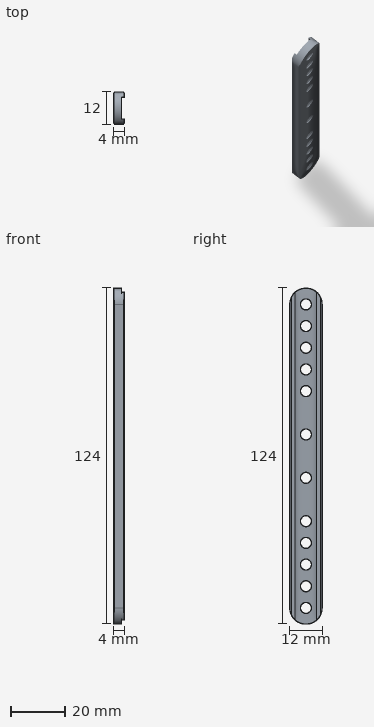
import cadquery as cq

length = 124.0
width = 12.0
thickness = 4.0

channel_width = 7.9
channel_depth = 1.0

bevel_across_face = 0.6
bevel_down_side = 0.4

hole_diameter = 4.0
pitch_count = 14
hole_positions = [0, 1, 2, 3, 4, 6, 8, 10, 11, 12, 13, 14]
end_center = (length - width) / 2
hole_pitch = 2 * end_center / pitch_count


def make_section():
    """Bevelled bar cross-section with its channel, extruded along Z."""
    bar = (
        cq.Workplane("XY")
        .rect(thickness, width)
        .extrude(length / 2, both=True)
    )
    for x_side in (-1, 1):
        for y_side in (-1, 1):
            x_face = x_side * thickness / 2
            y_face = y_side * width / 2
            bevel = (
                cq.Workplane("XY")
                .moveTo(x_face, y_face)
                .lineTo(x_face, y_face - y_side * bevel_across_face)
                .lineTo(x_face - x_side * bevel_down_side, y_face)
                .close()
                .extrude(length / 2, both=True)
            )
            bar = bar.cut(bevel)
    channel = (
        cq.Workplane("XY")
        .center(thickness / 2 - channel_depth / 2, 0)
        .rect(channel_depth, channel_width)
        .extrude(length / 2, both=True)
    )
    return bar.cut(channel)


def make_rounded_outline():
    """Plate with full-radius ends that limits the bar to its outline."""
    return cq.Workplane("YZ").slot2D(length, width, 90).extrude(thickness / 2, both=True)


def make_holes():
    """Cylinders for the through holes along the centre line."""
    centers = [(0, position * hole_pitch - end_center) for position in hole_positions]
    return (
        cq.Workplane("YZ")
        .pushPoints(centers)
        .circle(hole_diameter / 2)
        .extrude(thickness / 2, both=True)
    )


result = make_section().intersect(make_rounded_outline()).cut(make_holes())